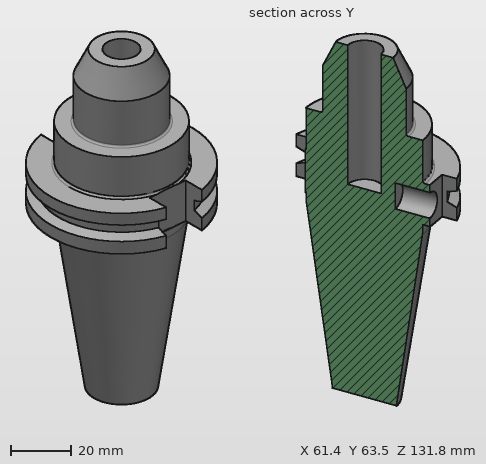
import cadquery as cq

TOTAL_HEIGHT = 131.8
TAPER_LENGTH = 68.2
COLLAR_LENGTH = 3.2
FLANGE_THICKNESS = 16.0
SHOULDER_LENGTH = 16.2
NOSE_CONE_LENGTH = 10.4

TAPER_END_DIAMETER = 24.5
TAPER_GAUGE_DIAMETER = 44.7
FLANGE_DIAMETER = 63.5
SHOULDER_DIAMETER = 44.8
NECK_DIAMETER = 32.0
NOSE_DIAMETER = 22.0

GROOVE_FLOOR_DIAMETER = 56.3
GROOVE_FLOOR_WIDTH = 3.7
GROOVE_MOUTH_WIDTH = 6.5
UPPER_RIM_THICKNESS = 4.6

NECK_FILLET = 0.8
SHOULDER_FILLET = 0.8

SLOT_WIDTH = 16.1
LEFT_SLOT_FLOOR = 25.0
RIGHT_SLOT_FLOOR = 22.7

BORE_DIAMETER = 12.6
BORE_DEPTH = 52.7
SIDE_HOLE_DIAMETER = 9.6
SIDE_HOLE_DEPTH = 13.2

flange_bottom = TAPER_LENGTH + COLLAR_LENGTH
flange_top = flange_bottom + FLANGE_THICKNESS
shoulder_top = flange_top + SHOULDER_LENGTH
cone_bottom = TOTAL_HEIGHT - NOSE_CONE_LENGTH
groove_center = flange_top - UPPER_RIM_THICKNESS - GROOVE_MOUTH_WIDTH / 2
flange_radius = FLANGE_DIAMETER / 2
shoulder_radius = SHOULDER_DIAMETER / 2
neck_radius = NECK_DIAMETER / 2


def foot_fillet(profile, radius, level, size):
    """Extend an upward half-profile from a flat ledge through a concave fillet."""
    return (
        profile.lineTo(radius + size, level)
        .radiusArc((radius, level + size), size)
    )


def turned_body():
    """Revolve the taper, grooved flange, shoulder, neck and nose as one body."""
    groove_radius = GROOVE_FLOOR_DIAMETER / 2
    profile = (
        cq.Workplane("XZ")
        .lineTo(TAPER_END_DIAMETER / 2, 0)
        .lineTo(TAPER_GAUGE_DIAMETER / 2, TAPER_LENGTH)
        .lineTo(TAPER_GAUGE_DIAMETER / 2, flange_bottom)
        .lineTo(flange_radius, flange_bottom)
        .lineTo(flange_radius, groove_center - GROOVE_MOUTH_WIDTH / 2)
        .lineTo(groove_radius, groove_center - GROOVE_FLOOR_WIDTH / 2)
        .lineTo(groove_radius, groove_center + GROOVE_FLOOR_WIDTH / 2)
        .lineTo(flange_radius, groove_center + GROOVE_MOUTH_WIDTH / 2)
        .lineTo(flange_radius, flange_top)
    )
    profile = foot_fillet(profile, shoulder_radius, flange_top, SHOULDER_FILLET)
    profile = profile.lineTo(shoulder_radius, shoulder_top)
    profile = foot_fillet(profile, neck_radius, shoulder_top, NECK_FILLET)
    profile = (
        profile.lineTo(neck_radius, cone_bottom)
        .lineTo(NOSE_DIAMETER / 2, TOTAL_HEIGHT)
        .lineTo(0, TOTAL_HEIGHT)
        .close()
    )
    return profile.revolve(360, (0, 0, 0), (0, 1, 0))


def drive_slot(side, floor_distance):
    """Cutter for one slot through the flange and shoulder fillet; side is -1 for -X, +1 for +X."""
    radial_length = flange_radius - floor_distance
    slot_height = FLANGE_THICKNESS + SHOULDER_FILLET
    return (
        cq.Workplane("XY")
        .box(radial_length, SLOT_WIDTH, slot_height)
        .translate((
            side * (floor_distance + radial_length / 2),
            0,
            flange_bottom + slot_height / 2,
        ))
    )


def nose_bore():
    """Cutter for the blind bore in the nose."""
    return (
        cq.Workplane("XY", origin=(0, 0, TOTAL_HEIGHT))
        .circle(BORE_DIAMETER / 2)
        .extrude(-BORE_DEPTH)
    )


def side_hole():
    """Cutter for the blind hole in the floor of the -X slot, level with the groove."""
    return (
        cq.Workplane("YZ", origin=(-LEFT_SLOT_FLOOR, 0, groove_center))
        .circle(SIDE_HOLE_DIAMETER / 2)
        .extrude(SIDE_HOLE_DEPTH)
    )


result = (
    turned_body()
    .cut(drive_slot(-1, LEFT_SLOT_FLOOR))
    .cut(drive_slot(1, RIGHT_SLOT_FLOOR))
    .cut(nose_bore())
    .cut(side_hole())
)